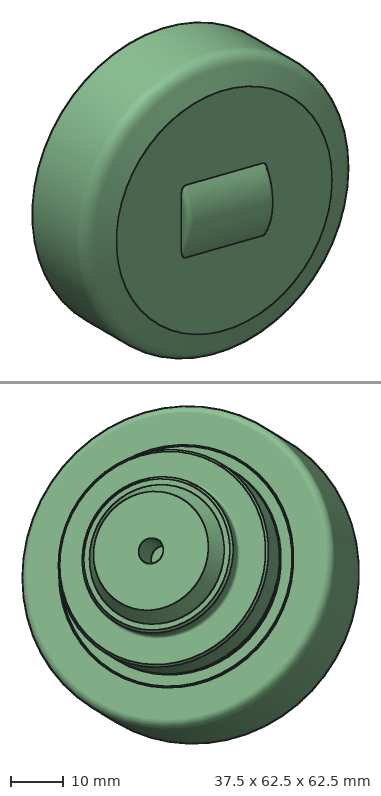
import cadquery as cq
import math


overall_length = 37.5

nose_tip_radius = 11.5
nose_base_radius = 13.5
nose_length = 3.5

neck_radius = 15.1
neck_chamfer = 0.5
neck_root_fillet = 0.5

collar_start = 7.0
collar_radius = 21.05
collar_chamfer = 0.45
collar_relief_start = 13.95
collar_relief_end = 14.5
collar_relief_radius = 20.7

roller_start = 14.95
roller_width = 20.0
roller_radius = 31.25
roller_front_fillet = 1.5
roller_back_fillet = 3.0
back_cone_radius = 25.0
back_cone_angle = math.radians(20)
roller_end = roller_start + roller_width

seal_outer_radius = 23.5
seal_inner_radius = 23.25
seal_depth = 0.3

hole_diameter = 4.95
hole_depth = 7.5

side_roller_radius = 12.4
side_roller_width = 19.9
side_roller_fillet = 1.0
side_roller_overlap = 1.0


def arc_middle(center_x, center_r, radius, angle):
    """Point on an arc, with the angle measured from the radial direction towards +X."""
    return (center_x + radius * math.sin(angle), center_r + radius * math.cos(angle))


def make_body():
    back_turn = math.pi / 2 - back_cone_angle
    back_center_r = roller_radius - roller_back_fillet
    cone_start_r = back_center_r + roller_back_fillet * math.cos(back_turn)
    cone_start_x = roller_end - (cone_start_r - back_cone_radius) * math.tan(back_cone_angle)
    back_center_x = cone_start_x - roller_back_fillet * math.sin(back_turn)

    front_center_x = roller_start + roller_front_fillet
    front_center_r = roller_radius - roller_front_fillet
    root_center_x = collar_start - neck_root_fillet
    root_center_r = neck_radius + neck_root_fillet

    profile = (
        cq.Workplane("XY")
        .lineTo(0, nose_tip_radius)
        .lineTo(nose_length, nose_base_radius)
        .lineTo(nose_length, neck_radius - neck_chamfer)
        .lineTo(nose_length + neck_chamfer, neck_radius)
        .lineTo(root_center_x, neck_radius)
        .threePointArc(
            arc_middle(root_center_x, root_center_r, neck_root_fillet, math.radians(135)),
            (collar_start, root_center_r),
        )
        .lineTo(collar_start, collar_radius - collar_chamfer)
        .lineTo(collar_start + collar_chamfer, collar_radius)
        .lineTo(collar_relief_start, collar_radius)
        .lineTo(collar_relief_end, collar_relief_radius)
        .lineTo(collar_relief_end, collar_radius)
        .lineTo(roller_start, collar_radius)
        .lineTo(roller_start, front_center_r)
        .threePointArc(
            arc_middle(front_center_x, front_center_r, roller_front_fillet, math.radians(-45)),
            (front_center_x, roller_radius),
        )
        .lineTo(back_center_x, roller_radius)
        .threePointArc(
            arc_middle(back_center_x, back_center_r, roller_back_fillet, back_turn / 2),
            (cone_start_x, cone_start_r),
        )
        .lineTo(roller_end, back_cone_radius)
        .lineTo(roller_end, 0)
        .close()
    )
    return profile.revolve(360, (0, 0, 0), (1, 0, 0))


def make_side_roller():
    """Cap of the side roller that stands proud of the back face, plus a small overlap into the body."""
    roller = (
        cq.Workplane("XZ")
        .center(overall_length - side_roller_radius, 0)
        .circle(side_roller_radius)
        .extrude(side_roller_width / 2, both=True)
        .edges()
        .fillet(side_roller_fillet)
    )
    kept_region = (
        cq.Workplane("YZ", origin=(roller_end - side_roller_overlap, 0, 0))
        .circle(roller_radius)
        .extrude(overall_length)
    )
    return roller.intersect(kept_region)


def make_seal_groove():
    return (
        cq.Workplane("YZ", origin=(roller_start, 0, 0))
        .circle(seal_outer_radius)
        .circle(seal_inner_radius)
        .extrude(seal_depth)
    )


def make_center_hole():
    return cq.Workplane("YZ").circle(hole_diameter / 2).extrude(hole_depth)


result = make_body().union(make_side_roller()).cut(make_seal_groove()).cut(make_center_hole())